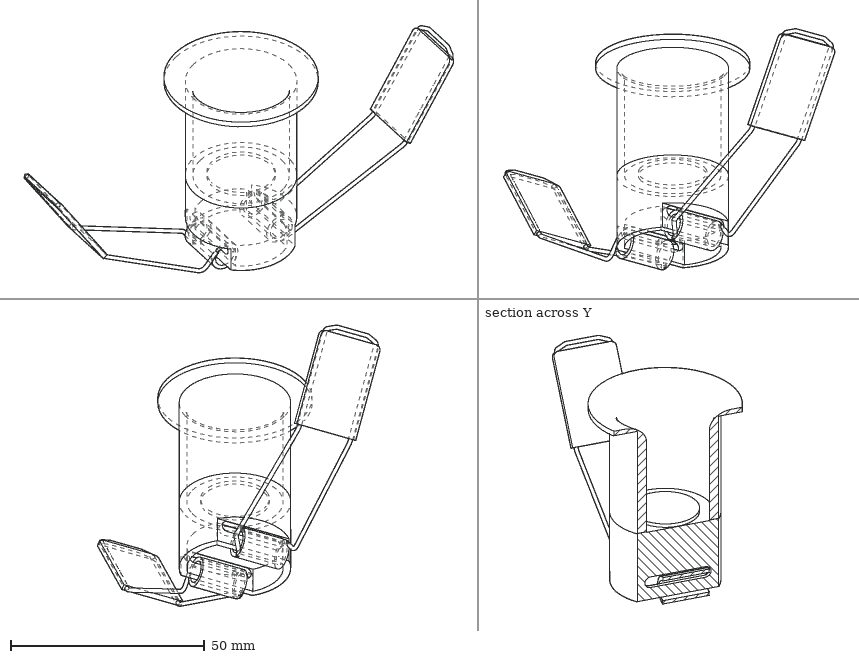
import cadquery as cq
import math


height = 51.5
body_radius = 14.5
flange_radius = 20.0
flange_thickness = 1.5
bore_radius = 12.5
flare_radius = 4.8
base_height = 20.0

disc_radius = 8.9
disc_thickness = 1.0

wall = 2.0
seat_out = 9.9
seat_height = 6.7
slot_length = 18.3
slot_height = 3.0
slot_bottom = 3.6

clip_x = -1.1
wire_radius = 0.55
coil_outer_radius = 4.0
coil_inner_radius = coil_outer_radius - 2 * wire_radius
coil_mean_radius = coil_outer_radius - wire_radius
coil_out = 9.1
coil_z = 1.9
coil_start = -5.3
coil_end = 7.7
stub_across = coil_start + 1.5 * wire_radius
stub_length = 2.5

arm_across = 7.5
hook_out = 16.0
hook_z = -0.5
hook_bend = 2.1
lead_out = 12.2
lead_z = 1.6
lead_run = 0.7
lead_bend = 1.0
knee_drop = 1.0
knee_bend = 2.5
loop_rise = 1.6
loop_shoulder = 0.4
loop_half_width = 4.6
loop_bend = 1.0

plate_width = 17.4
plate_length = 25.3
plate_thickness = 1.5
plate_corner = 1.5
plate_tilt = math.radians(57)
plate_out = 46.6
plate_z = 16.8


def clip_point(across, out, z):
    return cq.Vector(clip_x + across, -out, z)


def plate_point(across, along):
    """Point in the mid plane of the plate, 'along' its length from the lower edge."""
    out = plate_out + along * math.cos(plate_tilt)
    return clip_point(across, out, plate_z + along * math.sin(plate_tilt))


def rounded_path(points, bends):
    """Straight runs through the points, with each inner corner rounded to its bend radius."""
    edges = []
    start = points[0]
    for before, corner, after, radius in zip(points, points[1:], points[2:], bends):
        back = (before - corner).normalized()
        ahead = (after - corner).normalized()
        half_angle = back.getAngle(ahead) / 2
        arc_start = corner + back * (radius / math.tan(half_angle))
        arc_end = corner + ahead * (radius / math.tan(half_angle))
        to_middle = radius / math.sin(half_angle) - radius
        arc_middle = corner + (back + ahead).normalized() * to_middle
        edges.append(cq.Edge.makeLine(start, arc_start))
        edges.append(cq.Edge.makeThreePointArc(arc_start, arc_middle, arc_end))
        start = arc_end
    edges.append(cq.Edge.makeLine(start, points[-1]))
    return cq.Wire.assembleEdges(edges)


def make_trim():
    throat_z = height - flare_radius
    lip_radius = bore_radius + flare_radius
    flare_middle = flare_radius * math.sqrt(0.5)
    return (
        cq.Workplane("XZ")
        .moveTo(bore_radius, base_height)
        .lineTo(body_radius, base_height)
        .lineTo(body_radius, height - flange_thickness)
        .lineTo(flange_radius, height - flange_thickness)
        .lineTo(flange_radius, height)
        .lineTo(lip_radius, height)
        .threePointArc((lip_radius - flare_middle, throat_z + flare_middle), (bore_radius, throat_z))
        .close()
        .revolve(360, (0, 0, 0), (0, 1, 0))
    )


def make_base():
    base = cq.Workplane("XY").circle(body_radius).extrude(base_height)

    core = cq.Workplane("XY").rect(2 * body_radius, 2 * seat_out).extrude(seat_height)
    seats = cq.Workplane("XY").circle(2 * body_radius).extrude(seat_height).cut(core)
    cavity_width = 2 * (seat_out - wall)
    cavity = (
        cq.Workplane("XY")
        .circle(body_radius - wall)
        .extrude(seat_height)
        .intersect(cq.Workplane("XY").rect(2 * body_radius, cavity_width).extrude(seat_height))
    )

    slots = (
        cq.Workplane("XZ")
        .center(0, slot_bottom + slot_height / 2)
        .slot2D(slot_length, slot_height)
        .extrude(seat_out, both=True)
    )
    return base.cut(seats).cut(cavity).cut(slots)


def make_light_disc():
    return cq.Workplane("XY").workplane(offset=base_height).circle(disc_radius).extrude(disc_thickness)


def make_spring():
    coil_from_hook = math.hypot(hook_out - coil_out, coil_z - hook_z)
    to_coil = math.atan2(coil_z - hook_z, hook_out - coil_out)
    rise = to_coil + math.asin(coil_mean_radius / coil_from_hook)
    tangent_length = math.sqrt(coil_from_hook**2 - coil_mean_radius**2)

    def on_tangent(across, distance):
        return clip_point(across, hook_out - distance * math.cos(rise), hook_z + distance * math.sin(rise))

    lead_bottom = coil_z - coil_mean_radius
    shoulder = plate_length + loop_shoulder
    loop_top = plate_length + loop_rise

    points = [
        on_tangent(coil_end, tangent_length),
        clip_point(coil_end, hook_out, hook_z),
        plate_point(arm_across, -knee_drop),
        plate_point(arm_across, shoulder),
        plate_point(loop_half_width, loop_top),
        plate_point(-loop_half_width, loop_top),
        plate_point(-arm_across, shoulder),
        plate_point(-arm_across, -knee_drop),
        clip_point(-arm_across, lead_out, lead_z),
        clip_point(coil_start, coil_out + lead_run, lead_bottom),
        clip_point(coil_start + wire_radius, coil_out - lead_run, lead_bottom),
    ]
    bends = [
        hook_bend, knee_bend, loop_bend, loop_bend, loop_bend,
        loop_bend, knee_bend, lead_bend, lead_bend,
    ]
    path = rounded_path(points, bends)
    start_plane = cq.Plane(points[0], (1, 0, 0), points[1] - points[0])
    wire = cq.Workplane(start_plane).circle(wire_radius).sweep(cq.Workplane(path))

    coil = (
        cq.Workplane("YZ", origin=clip_point(coil_start, coil_out, coil_z).toTuple())
        .circle(coil_outer_radius)
        .circle(coil_inner_radius)
        .extrude(coil_end - coil_start)
    )

    stub_foot = on_tangent(stub_across, tangent_length)
    stub_tip = on_tangent(stub_across, tangent_length + stub_length)
    stub_plane = cq.Plane(stub_foot, (1, 0, 0), stub_tip - stub_foot)
    stub = cq.Workplane(stub_plane).circle(wire_radius).extrude(stub_length)
    return coil.union(wire).union(stub)


def make_grip_plate(spring):
    along = plate_point(0, 1.2) - plate_point(0, 0)
    across = cq.Vector(1, 0, 0)
    normal = across.cross(along)
    plate = (
        cq.Workplane(cq.Plane(plate_point(0, plate_length / 2), across, normal))
        .rect(plate_width, plate_length)
        .extrude(plate_thickness / 2, both=True)
        .edges(cq.selectors.ParallelDirSelector(normal))
        .edges(cq.selectors.DirectionMinMaxSelector(along, True))
        .fillet(plate_corner)
    )
    return plate.cut(spring)


trim = make_trim()
base = make_base()
light_disc = make_light_disc()
spring = make_spring()
grip_plate = make_grip_plate(spring)

springs = []
grip_plates = []
for turn in (0, 180):
    springs.append(spring.rotate((clip_x, 0, 0), (clip_x, 0, 1), turn).val())
    grip_plates.append(grip_plate.rotate((clip_x, 0, 0), (clip_x, 0, 1), turn).val())

result = cq.Compound.makeCompound([trim.val(), base.val(), light_disc.val(), *springs, *grip_plates])